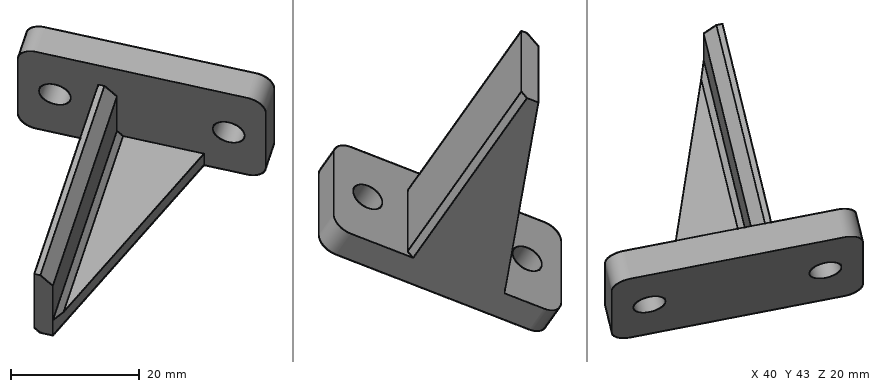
import cadquery as cq

plate_width = 40.0
plate_height = 20.0
plate_thickness = 5.0
corner_radius = 3.0
hole_diameter = 5.1
hole_spacing = 28.0

total_depth = 43.0
arm_length = total_depth - plate_thickness
arm_left = -7.0
wall_thickness = 3.0
wall_height = 15.0
wall_right = arm_left + wall_thickness
flange_right = 10.0
flange_thickness = wall_thickness
top_chamfer = 2.0
small_chamfer = 1.0



def make_plate():
    """Rounded plate with two mounting holes, extending toward +Y."""
    plate = (
        cq.Workplane("XY")
        .box(plate_width, plate_thickness, plate_height)
        .edges("|Y")
        .fillet(corner_radius)
    )
    plate = (
        plate.faces("<Y")
        .workplane(centerOption="CenterOfBoundBox")
        .rarray(hole_spacing, 0.45, 2, 1)
        .hole(hole_diameter)
    )
    return plate.translate((0, plate_thickness / 2, plate_height / 2))


def make_arm():
    """L section projecting toward -Y, with the flange tapering to nothing."""
    section = [
        (arm_left + small_chamfer, 0),
        (flange_right, 0),
        (flange_right, flange_thickness),
        (wall_right + small_chamfer, flange_thickness),
        (wall_right, flange_thickness + small_chamfer),
        (wall_right, wall_height - top_chamfer),
        (wall_right - top_chamfer, wall_height),
        (arm_left, wall_height),
        (arm_left, small_chamfer),
    ]
    arm = cq.Workplane("XZ").polyline(section).close().extrude(arm_length)

    plan = [
        (arm_left, 0),
        (flange_right, 0),
        (wall_right, -arm_length),
        (arm_left, -arm_length),
    ]
    taper = cq.Workplane("XY").polyline(plan).close().extrude(wall_height)
    return arm.intersect(taper)


result = make_plate().union(make_arm())